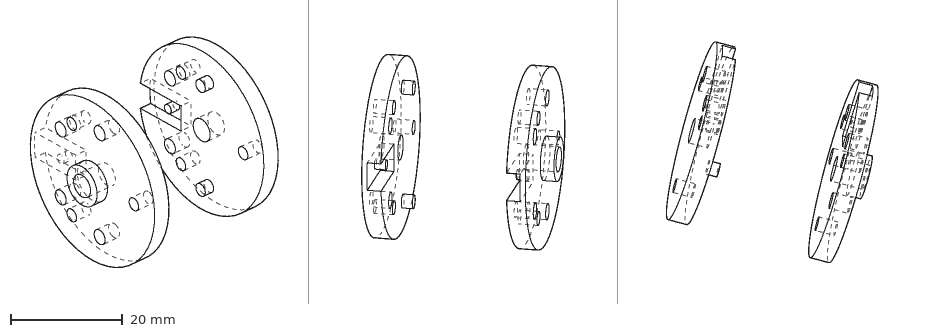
import cadquery as cq
import math

plate_diameter = 33.0
plate_thickness = 3.5
total_depth = 32.5
boss_diameter = 8.0
boss_height = 2.5
bore_diameter = 4.5

circle_radius = 11.0
small_hole_diameter = 2.5
small_hole_angles = [0, 120, -120]
large_hole_diameter = 2.9
large_hole_angles = [140, -140]
locating_angles = [80, -80]
locating_pin_diameter = 2.5
locating_pin_length = 2.0

slot_width = 5.2
slot_depth = 2.5
slot_end_x = -5.5
post_diameter = 1.8
post_length = 2.0
post_x = -9.5

front_outer_y = -total_depth / 2 + boss_height
front_inner_y = front_outer_y + plate_thickness
rear_inner_y = total_depth / 2 - plate_thickness


def cylinder(diameter, start_y, length, x=0, z=0):
    """Cylinder along Y; a negative length extends toward -Y."""
    direction = cq.Vector(0, math.copysign(1, length), 0)
    solid = cq.Solid.makeCylinder(diameter / 2, abs(length), cq.Vector(x, start_y, z), direction)
    return cq.Workplane(obj=solid)


def circle_cylinders(diameter, angles, start_y, length):
    """One cylinder at each angle of the common circle."""
    cylinders = []
    for angle in angles:
        x = circle_radius * math.cos(math.radians(angle))
        z = circle_radius * math.sin(math.radians(angle))
        cylinders.append(cylinder(diameter, start_y, length, x, z))
    return cylinders


def make_plate(inner_y, inward):
    """Slotted, drilled disc; inward is the Y sign pointing from the disc into the gap."""
    thickness = -inward * plate_thickness
    plate = cylinder(plate_diameter, inner_y, thickness)

    plate = plate.cut(cylinder(bore_diameter, inner_y, thickness))
    holes = circle_cylinders(small_hole_diameter, small_hole_angles, inner_y, thickness)
    holes += circle_cylinders(large_hole_diameter, large_hole_angles, inner_y, thickness)
    for hole in holes:
        plate = plate.cut(hole)

    slot_floor_y = inner_y - inward * slot_depth
    slot_length = plate_diameter / 2 + slot_end_x
    slot = cq.Workplane("XY").box(slot_length, slot_depth, slot_width).translate(
        (slot_end_x - slot_length / 2, (inner_y + slot_floor_y) / 2, 0)
    )
    plate = plate.cut(slot)
    return plate.union(cylinder(post_diameter, slot_floor_y, inward * post_length, post_x))


def make_front_plate():
    """Plate with a bored hub boss and clearance holes for the locating pins."""
    plate = make_plate(front_inner_y, 1)
    plate = plate.union(cylinder(boss_diameter, front_outer_y, -boss_height))
    plate = plate.cut(cylinder(bore_diameter, front_outer_y, -boss_height))
    for hole in circle_cylinders(large_hole_diameter, locating_angles, front_outer_y, plate_thickness):
        plate = plate.cut(hole)
    return plate


def make_rear_plate():
    """Plate with two locating pins that point at the front plate."""
    plate = make_plate(rear_inner_y, -1)
    for pin in circle_cylinders(locating_pin_diameter, locating_angles, rear_inner_y, -locating_pin_length):
        plate = plate.union(pin)
    return plate


front_plate = make_front_plate()
rear_plate = make_rear_plate()
result = cq.Compound.makeCompound([front_plate.solids().val(), rear_plate.solids().val()])